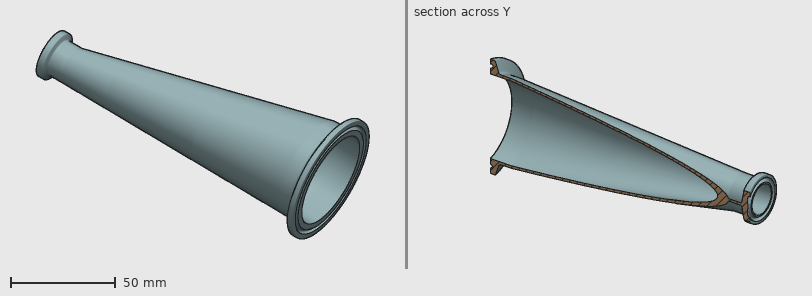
import cadquery as cq
import math

total_length = 152.4
ferrule_length = 12.6

small_bore = 15.7
small_tube = 19.0
small_flange = 25.0
small_rim_thickness = 3.7
small_root_radius = 0.6
small_groove = 22.0

large_bore = 47.5
large_tube = 50.7
large_flange = 63.9
large_rim_thickness = 2.9
large_root_radius = 1.4
large_groove = 58.4

clamp_angle = 20.0
rim_front_radius = 0.3
rim_back_radius = 0.6
groove_depth = 1.4
groove_radius = 0.9
groove_lip = 0.8

axis_offset = (large_tube - small_tube) / 2
axis_drop = 0.6
seam_fractions = (0.0, 0.2, 0.6, 1.0)


def revolve_about_x(profile):
    return profile.revolve(360, (0, 0, 0), (1, 0, 0))


def round_edge(body, x, fillet_radius):
    """Fillet the one circular edge whose center lies at x on the X axis."""
    margin = 0.08
    near_center = cq.selectors.BoxSelector((x - margin, -margin, -margin), (x + margin, margin, margin))
    return body.edges("%CIRCLE").edges(near_center).fillet(fillet_radius)


def gasket_groove(outer_diameter):
    """Ring to cut from the face at X = 0: straight outer wall, round bottom, sloped inner wall."""
    outer_r = outer_diameter / 2
    middle_r = outer_r - groove_radius
    center_depth = groove_depth - groove_radius
    diagonal = groove_radius * math.sqrt(0.5)
    lip_start_r = middle_r - diagonal
    profile = (
        cq.Workplane("XY")
        .moveTo(0, outer_r)
        .lineTo(center_depth, outer_r)
        .threePointArc((groove_depth, middle_r), (center_depth + diagonal, lip_start_r))
        .lineTo(0, lip_start_r - groove_lip)
        .close()
    )
    return revolve_about_x(profile)


def ferrule(bore, tube, flange, rim_thickness, root_radius, groove):
    """Clamp ferrule on the X axis: sealing face at X = 0, tube end at X = ferrule_length."""
    tube_r = tube / 2
    flange_r = flange / 2
    root_x = rim_thickness + (flange_r - tube_r) * math.tan(math.radians(clamp_angle))
    profile = (
        cq.Workplane("XY")
        .lineTo(0, flange_r)
        .lineTo(rim_thickness, flange_r)
        .lineTo(root_x, tube_r)
        .lineTo(ferrule_length, tube_r)
        .lineTo(ferrule_length, 0)
        .close()
    )
    body = revolve_about_x(profile)
    body = round_edge(body, root_x, root_radius)
    body = round_edge(body, rim_thickness, rim_back_radius)
    body = round_edge(body, 0, rim_front_radius)
    hole = cq.Workplane("YZ").circle(bore / 2).extrude(ferrule_length)
    return body.cut(hole).cut(gasket_groove(groove))


def cone(small_diameter, large_diameter):
    """Solid oblique cone between the ferrules, with a seam at each joint."""
    sections = []
    for fraction in seam_fractions:
        radius = (small_diameter + (large_diameter - small_diameter) * fraction) / 2
        x = ferrule_length + (total_length - 2 * ferrule_length) * fraction
        y = -axis_offset * (1 - fraction)
        z = -axis_drop * (1 - fraction)
        sections.append(cq.Wire.makeCircle(radius, cq.Vector(x, y, z), cq.Vector(1, 0, 0)))
    return cq.Workplane("XY").add(cq.Solid.makeLoft(sections, True))


small_end = ferrule(
    small_bore, small_tube, small_flange, small_rim_thickness, small_root_radius, small_groove
).translate((0, -axis_offset, -axis_drop))

large_end = ferrule(
    large_bore, large_tube, large_flange, large_rim_thickness, large_root_radius, large_groove
).mirror("YZ").translate((total_length, 0, 0))

shell = cone(small_tube, large_tube).cut(cone(small_bore, large_bore), clean=False)

result = shell.union(small_end, clean=False).union(large_end, clean=False).solids()